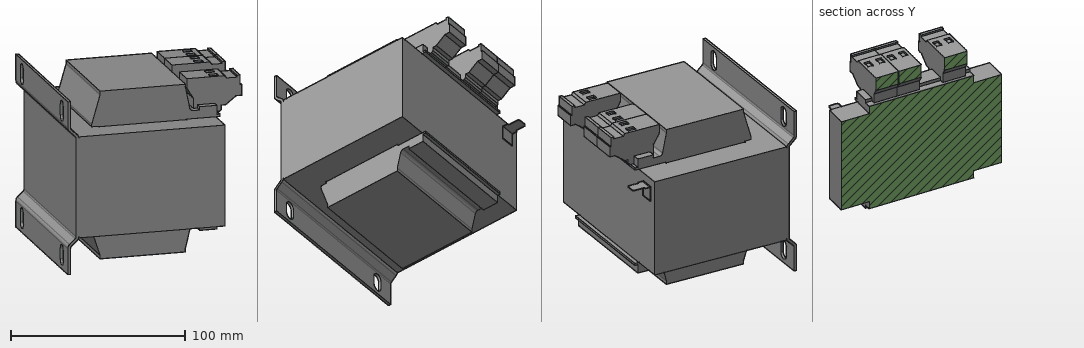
import cadquery as cq
import math


edge_tolerance = 0.01

width = 105.0
core_height = 60.3
core_back = 6.6
core_front = 94.2
window_back = 24.0
window_front = 76.5
window_clearance = 1.0

bracket_height = 103.2
sheet = 1.7
flange_bend_z = 34.6
web_bend_z = 30.0
inner_bend_radius = 1.5
outer_bend_radius = inner_bend_radius + sheet
slot_length = 12.2
slot_width = 6.1
slot_spacing_x = 80.4
slot_spacing_z = 86.0

bobbin_width = 68.6
bobbin_top_height = 20.9
bobbin_bottom_height = 19.0
bobbin_base_back = 19.7
bobbin_crown_back = 24.7
bobbin_crown_front = 75.9
crown_band = 2.2
base_band = 1.5
groove_back = 78.8
groove_floor = 4.8
groove_radius = 2.0
rail_back = 84.4
rail_front = 94.8
rail_height = 6.8
lip_front = 96.7
lip_thickness = 1.4

terminal_pitch = 15.0
terminal_width = 14.9
terminal_steps = (-1.5, -0.5, 1.5)
terminal_rise = 1.4
terminal_top = bracket_height / 2 + terminal_rise
terminal_front = 110.9
terminal_back = 78.0
terminal_heel_back = 81.9
heel_top_z = 41.0
back_edge_z = 47.4
nose_bottom_z = 40.4
nose_bottom_back = 107.5
step_front = 101.2
step_z = 35.5
clip_front = 98.7
clip_chamfer = 1.0
clip_clearance = 0.4
shelf_z = 46.9
shelf_depth = 0.9
ridge_drop = 0.4
ridge_back = 108.1
marker_drop = 1.5
marker_back = 101.9
marker_slope_back = 100.9
entry_width = 3.5
entry_length = 4.9
entry_depth = 1.2
entry_spacing = 7.6
entry_y = 95.0

tab_x = -43.9
tab_sheet = 0.5
tab_top = 25.1
tab_bottom = 15.8
tab_base_width = 8.6
tab_base_front = 97.9
tab_blade_width = 6.6
tab_tip = 105.4
tab_tip_radius = 1.2


def extrude_side_profile(points, x_center, depth):
    """Extrude a closed (Y, Z) outline along X, centred on x_center."""
    profile = cq.Workplane("YZ", origin=(x_center, 0, 0)).polyline(points).close()
    return profile.extrude(depth / 2, both=True)


def block(x_center, x_size, y_range, z_range):
    """Box centred on x_center in X and spanning the given Y and Z ranges."""
    y0, y1 = y_range
    z0, z1 = z_range
    box = cq.Workplane("XY").box(x_size, y1 - y0, z1 - z0, centered=(True, False, False))
    return box.translate((x_center, y0, z0))


def fillet_x_edges(body, corners, radius):
    """Round the edges along X whose (Y, |Z|) position matches one of corners."""
    chosen = [
        edge
        for edge in body.edges("|X").vals()
        for y, z in corners
        if math.hypot(edge.Center().y - y, abs(edge.Center().z) - z) < edge_tolerance
    ]
    return cq.Workplane(body.val().fillet(radius, chosen))


def make_core():
    core = block(0, width, (core_back, core_front), (-core_height / 2, core_height / 2))
    gap_x = (bobbin_width + window_clearance) / 2
    for side in (-1, 1):
        gap = block(
            side * gap_x,
            window_clearance,
            (window_back, window_front),
            (-core_height / 2, core_height / 2),
        )
        core = core.cut(gap)
    return core


def make_bracket():
    web_face = core_back - sheet
    joggle_angle = math.atan2(web_face, flange_bend_z - web_bend_z)
    miter = sheet * math.tan(joggle_angle / 2)
    face_corners = [(web_face, web_bend_z), (0, flange_bend_z)]
    rear_corners = [(sheet, flange_bend_z + miter), (core_back, web_bend_z + miter)]
    end = bracket_height / 2
    upper = face_corners + [(0, end), (sheet, end)] + rear_corners
    lower = [(y, -z) for y, z in reversed(upper)]
    bracket = extrude_side_profile(upper + lower, 0, width)

    bracket = fillet_x_edges(bracket, [face_corners[0], rear_corners[0]], inner_bend_radius)
    bracket = fillet_x_edges(bracket, [face_corners[1], rear_corners[1]], outer_bend_radius)

    slots = (
        cq.Workplane("XZ")
        .rarray(slot_spacing_x, slot_spacing_z, 2, 2)
        .slot2D(slot_length, slot_width, 90)
        .extrude(-sheet)
    )
    return bracket.cut(slots)


def make_bobbin_half(height):
    """Upper bobbin half standing on the core's top face."""
    outline = [
        (bobbin_base_back, 0),
        (bobbin_base_back, base_band),
        (bobbin_crown_back, height - crown_band),
        (bobbin_crown_back, height),
        (bobbin_crown_front, height),
        (bobbin_crown_front, height - crown_band),
        (groove_back, groove_floor),
        (rail_back, groove_floor),
        (rail_back, rail_height),
        (rail_front, rail_height),
        (rail_front, lip_thickness),
        (lip_front, lip_thickness),
        (lip_front, 0),
    ]
    half = extrude_side_profile(outline, 0, bobbin_width)
    half = fillet_x_edges(half, [(groove_back, groove_floor)], groove_radius)
    return half.translate((0, 0, core_height / 2))


def make_terminal(x_center):
    rail_floor = core_height / 2 + groove_floor
    foot = core_height / 2 + lip_thickness + clip_clearance
    outline = [
        (terminal_back, terminal_top),
        (terminal_back, back_edge_z),
        (terminal_heel_back, heel_top_z),
        (terminal_heel_back, rail_floor),
        (rail_back, rail_floor),
        (rail_front, foot),
        (clip_front - clip_chamfer, foot),
        (clip_front, foot + clip_chamfer),
        (clip_front, step_z),
        (step_front, step_z),
        (nose_bottom_back, nose_bottom_z),
        (terminal_front, nose_bottom_z),
        (terminal_front, shelf_z),
        (terminal_front - shelf_depth, shelf_z),
        (terminal_front - shelf_depth, terminal_top - ridge_drop),
        (ridge_back, terminal_top - ridge_drop),
        (ridge_back, terminal_top - marker_drop),
        (marker_back, terminal_top - marker_drop),
        (marker_slope_back, terminal_top),
    ]
    terminal = extrude_side_profile(outline, x_center, terminal_width)
    for side in (-1, 1):
        entry = block(
            x_center + side * entry_spacing / 2,
            entry_width,
            (entry_y - entry_length / 2, entry_y + entry_length / 2),
            (terminal_top - entry_depth, terminal_top),
        )
        terminal = terminal.cut(entry)
    return terminal


def make_earth_tab():
    plate = block(tab_x, tab_base_width, (core_front, core_front + tab_sheet), (tab_bottom, tab_top))
    base = block(tab_x, tab_base_width, (core_front, tab_base_front), (tab_top - tab_sheet, tab_top))
    blade = block(tab_x, tab_blade_width, (core_front, tab_tip), (tab_top - tab_sheet, tab_top))
    blade = blade.edges("|Z and >Y").fillet(tab_tip_radius)
    return plate.union(base).union(blade)


result = make_core().union(make_bracket())
result = result.union(make_bobbin_half(bobbin_top_height))
result = result.union(make_bobbin_half(bobbin_bottom_height).mirror("XY"))
for step in terminal_steps:
    result = result.union(make_terminal(step * terminal_pitch))
result = result.union(make_earth_tab())